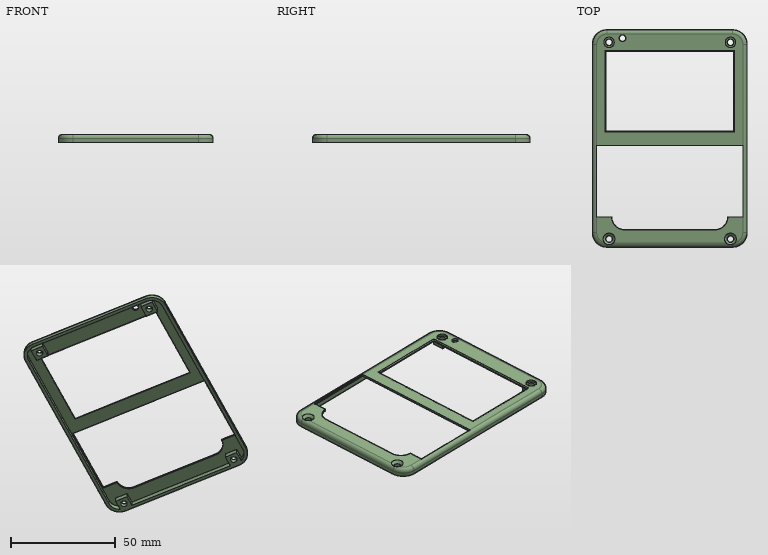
import cadquery as cq

WIDTH = 74.0
LENGTH = 104.0
HEIGHT = 4.0
CORNER_RADIUS = 7.1
TOP_FILLET = 2.1
RIM_WIDTH = 2.1
RECESS_WALL = 1.6
PLATE_THICKNESS = 1.0

WINDOW_WIDTH = 61.8
WINDOW_TOP_Y = 42.0
WINDOW_BOTTOM_Y = 3.0
WINDOW_BEVEL = 0.5

OPENING_TOP_Y = -3.4
SHOULDER_Y = -37.4
NOTCH_BOTTOM_Y = -43.6
NOTCH_WIDTH = 55.3

SCREW_X = 29.0
UPPER_SCREW_Y = 46.0
LOWER_SCREW_Y = -48.0
HOLE_DIAMETER = 3.0
COUNTERBORE_DIAMETER = 5.0
COUNTERBORE_DEPTH = 1.0
COUNTERSINK_DIAMETER = 5.6
COUNTERSINK_ANGLE = 90
PAD_SIZE = 6.0

SIDE_HOLE_X = -22.6
SIDE_HOLE_Y = 47.9

OPENING_WIDTH = WIDTH - 2 * RIM_WIDTH
RECESS_WIDTH = WIDTH - 2 * RECESS_WALL
RECESS_LENGTH = LENGTH - 2 * RECESS_WALL
RECESS_DEPTH = HEIGHT - PLATE_THICKNESS
UPPER_SCREWS = [(-SCREW_X, UPPER_SCREW_Y), (SCREW_X, UPPER_SCREW_Y)]
LOWER_SCREWS = [(-SCREW_X, LOWER_SCREW_Y), (SCREW_X, LOWER_SCREW_Y)]


def rounded_block(width, length, height, radius):
    """Block standing on Z = 0 with rounded vertical edges."""
    return (
        cq.Workplane("XY")
        .box(width, length, height, centered=(True, True, False))
        .edges("|Z")
        .fillet(radius)
    )


def make_shell():
    """Thin top plate with a full-height rim and a pad under each screw."""
    outer = rounded_block(WIDTH, LENGTH, HEIGHT, CORNER_RADIUS).faces(">Z").edges().fillet(TOP_FILLET)
    recess = rounded_block(RECESS_WIDTH, RECESS_LENGTH, RECESS_DEPTH, CORNER_RADIUS - RECESS_WALL)
    pads = (
        cq.Workplane("XY")
        .pushPoints(UPPER_SCREWS + LOWER_SCREWS)
        .rect(PAD_SIZE, PAD_SIZE)
        .extrude(RECESS_DEPTH)
    )
    return outer.cut(recess.cut(pads))


def make_window():
    """Cutter for the upper window, with a 45-degree bevel at the top face."""
    window_length = WINDOW_TOP_Y - WINDOW_BOTTOM_Y
    center_y = (WINDOW_TOP_Y + WINDOW_BOTTOM_Y) / 2
    throat_width = WINDOW_WIDTH - 2 * WINDOW_BEVEL
    throat_length = window_length - 2 * WINDOW_BEVEL
    throat = cq.Workplane("XY").center(0, center_y).rect(throat_width, throat_length).extrude(HEIGHT)
    bevel = (
        cq.Workplane("XY", origin=(0, center_y, HEIGHT - WINDOW_BEVEL))
        .rect(throat_width, throat_length)
        .workplane(offset=WINDOW_BEVEL)
        .rect(WINDOW_WIDTH, window_length)
        .loft(ruled=True)
    )
    return throat.union(bevel)


def make_opening():
    """Cutter for the lower opening and the notch below its shoulders."""
    side_x = OPENING_WIDTH / 2
    notch_x = NOTCH_WIDTH / 2
    notch_radius = SHOULDER_Y - NOTCH_BOTTOM_Y
    floor_x = notch_x - notch_radius
    return (
        cq.Workplane("XY")
        .moveTo(-side_x, OPENING_TOP_Y)
        .lineTo(side_x, OPENING_TOP_Y)
        .lineTo(side_x, SHOULDER_Y)
        .lineTo(notch_x, SHOULDER_Y)
        .radiusArc((floor_x, NOTCH_BOTTOM_Y), notch_radius)
        .lineTo(-floor_x, NOTCH_BOTTOM_Y)
        .radiusArc((-notch_x, SHOULDER_Y), notch_radius)
        .lineTo(-side_x, SHOULDER_Y)
        .close()
        .extrude(HEIGHT)
    )


def drill_holes(body):
    """Counterbored upper screws, countersunk lower screws and the plain side hole."""
    top = cq.Workplane("XY", origin=(0, 0, HEIGHT))
    through = top.pushPoints([*UPPER_SCREWS, *LOWER_SCREWS, (SIDE_HOLE_X, SIDE_HOLE_Y)])
    counterbores = top.pushPoints(UPPER_SCREWS).circle(COUNTERBORE_DIAMETER / 2).extrude(-COUNTERBORE_DEPTH)
    countersinks = top.pushPoints(LOWER_SCREWS).circle(COUNTERSINK_DIAMETER / 2).extrude(
        -(COUNTERSINK_DIAMETER - HOLE_DIAMETER) / 2, taper=COUNTERSINK_ANGLE / 2
    )
    body = body.cut(through.circle(HOLE_DIAMETER / 2).extrude(-HEIGHT))
    return body.cut(counterbores).cut(countersinks)


result = drill_holes(make_shell().cut(make_window()).cut(make_opening()))